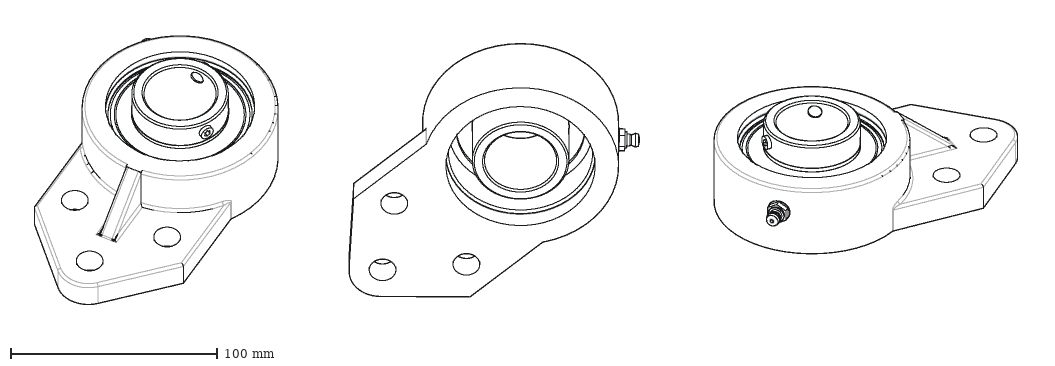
import cadquery as cq
import math


overall_length = 156.0
barrel_radius = 47.5
barrel_height = 36.5
edge_round = 1.4
seat_bore_diameter = 72.2
seat_sphere_diameter = 76.1

inner_overlap_radius = 42.1

tolerance = 0.02

flange_thickness = 13.4
flange_half_width = 41.0
flange_corner_y = -72.4
flange_tip_radius = 15.3
flange_tip_y = barrel_radius - overall_length
bolt_hole_diameter = 13.0
bolt_hole_points = [(-25.5, -60.0), (25.5, -60.0), (0, -91.9)]

rib_width = 8.3
rib_toe_y = -74.5
rib_edge_round = 1.4
root_fillet = 1.4

nipple_angle = 135.0
nipple_height = 23.0
boss_diameter = 11.2
boss_face_radius = 47.7
nipple_hex_width = 9.4
nipple_hex_end = 50.5
nipple_shoulder_diameter = 8.0
nipple_shoulder_end = 51.5
nipple_collar_diameter = 6.0
nipple_collar_end = 53.0
nipple_neck_diameter = 5.1
nipple_head_diameter = 6.7
nipple_head_start = 53.7
nipple_head_widest = 55.7
nipple_head_end = 57.1
nipple_tip_diameter = 2.3
nipple_tip_end = 57.5
nipple_hole_diameter = 1.5
nipple_hole_depth = 1.5

bore_diameter = 35.0
inner_ring_diameter = 46.8
inner_ring_length = 42.9
inner_ring_top = 46.3
inner_ring_bottom = inner_ring_top - inner_ring_length
ring_chamfer = 1.0

bearing_center_z = 20.9
outer_ring_half_width = 11.2
outer_ring_bore_diameter = 69.9
outer_ring_chamfer = 1.2

seal_top = 30.5
seal_thickness = 1.9
seal_bore_diameter = 62.2
seal_top_diameter = 67.7
seal_edge_depth = 0.5
flinger_diameter = 63.8
flinger_collar_diameter = 47.3
flinger_thickness = 0.23
flinger_rise = 1.1
flinger_collar_top = 33.9

screw_angles = [90.0, -30.0]
screw_diameter = 6.7
screw_z = 40.4
screw_outer_end = 25.3
screw_recess = 0.8
screw_inner_end = bore_diameter / 2 + screw_recess
socket_width = 3.0
socket_depth = 3.1


def radial_plane(angle, distance, z):
    """Plane at a distance from the bearing axis, with its normal pointing outward and local Y up."""
    direction = (math.cos(math.radians(angle)), math.sin(math.radians(angle)), 0)
    tangent = (-direction[1], direction[0], 0)
    origin = (distance * direction[0], distance * direction[1], z)
    return cq.Plane(origin=origin, xDir=tangent, normal=direction)


def revolve_profile(points):
    """Turn a closed (radius, z) outline about the bearing axis."""
    return cq.Workplane("XZ").polyline(points).close().revolve(360, (0, 0, 0), (0, 1, 0))


def make_flange():
    """Plate whose slanted sides run tangentially into the rounded tip."""
    tip_center_y = flange_tip_y + flange_tip_radius
    to_center_x = -flange_half_width
    to_center_y = tip_center_y - flange_corner_y
    center_distance = math.hypot(to_center_x, to_center_y)
    tangent_angle = math.atan2(-to_center_y, -to_center_x) - math.acos(flange_tip_radius / center_distance)
    tangent_x = flange_tip_radius * math.cos(tangent_angle)
    tangent_y = tip_center_y + flange_tip_radius * math.sin(tangent_angle)
    return (
        cq.Workplane("XY")
        .moveTo(flange_half_width, 0)
        .lineTo(flange_half_width, flange_corner_y)
        .lineTo(tangent_x, tangent_y)
        .threePointArc((0, flange_tip_y), (-tangent_x, tangent_y))
        .lineTo(-flange_half_width, flange_corner_y)
        .lineTo(-flange_half_width, 0)
        .close()
        .extrude(flange_thickness)
        .faces(">Z")
        .edges("not >Y")
        .fillet(edge_round)
    )


def make_rib():
    """Sharp-edged rib sloping from the top of the barrel down to the flange."""
    return (
        cq.Workplane("YZ")
        .polyline([
            (-inner_overlap_radius, 0),
            (-inner_overlap_radius, barrel_height),
            (-barrel_radius, barrel_height),
            (rib_toe_y, flange_thickness),
            (rib_toe_y, 0),
        ])
        .close()
        .extrude(rib_width / 2, both=True)
    )


def make_rib_edge_waste():
    """Slivers to remove along the rib so that its two sloping edges become round."""
    slope = cq.Vector(0, rib_toe_y + barrel_radius, flange_thickness - barrel_height)
    sloping_edges = cq.selectors.ParallelDirSelector(slope)
    sharp_rib = make_rib()
    rounded_rib = sharp_rib.edges(sloping_edges).fillet(rib_edge_round)
    barrel = cq.Workplane("XY").circle(barrel_radius).extrude(barrel_height)
    return sharp_rib.cut(rounded_rib).cut(barrel)


def is_root_edge(edge):
    """True for the inner corners where the barrel and the rib rise from the flange top."""
    box = edge.BoundingBox()
    lies_on_flange_top = max(abs(box.zmin - flange_thickness), abs(box.zmax - flange_thickness)) < tolerance
    if not lies_on_flange_top:
        return False
    if edge.geomType() == "CIRCLE":
        return abs(edge.radius() - barrel_radius) < tolerance
    return max(abs(box.xmin), abs(box.xmax)) < rib_width / 2 + tolerance


def make_housing():
    """Barrel, flange, rib and nipple boss in one casting, bored for the bearing and the bolts."""
    barrel = cq.Workplane("XY").circle(barrel_radius).extrude(barrel_height)
    barrel = barrel.faces(">Z").edges().fillet(edge_round)
    body = barrel.union(make_flange()).union(make_rib())
    root_edges = [edge for edge in body.edges().vals() if is_root_edge(edge)]
    body = body.newObject(root_edges).fillet(root_fillet)
    body = body.cut(make_rib_edge_waste())
    boss = (
        cq.Workplane(radial_plane(nipple_angle, inner_overlap_radius, nipple_height))
        .circle(boss_diameter / 2)
        .extrude(boss_face_radius - inner_overlap_radius)
    )
    bore = cq.Workplane("XY").circle(seat_bore_diameter / 2).extrude(barrel_height)
    seat = cq.Workplane("XY", origin=(0, 0, bearing_center_z)).sphere(seat_sphere_diameter / 2)
    bolt_holes = (
        cq.Workplane("XY")
        .pushPoints(bolt_hole_points)
        .circle(bolt_hole_diameter / 2)
        .extrude(flange_thickness)
    )
    return body.union(boss).cut(bore).cut(seat).cut(bolt_holes)


def make_outer_ring():
    """Ring with a spherical outside and flat ends, chamfered at both mouths of its bore."""
    ball = cq.Workplane("XY", origin=(0, 0, bearing_center_z)).sphere(seat_sphere_diameter / 2)
    slab = (
        cq.Workplane("XY", origin=(0, 0, bearing_center_z - outer_ring_half_width))
        .circle(seat_sphere_diameter / 2)
        .circle(outer_ring_bore_diameter / 2)
        .extrude(2 * outer_ring_half_width)
    )
    bore_edges = cq.selectors.RadiusNthSelector(0)
    return ball.intersect(slab).edges(bore_edges).chamfer(outer_ring_chamfer)


def make_screw(angle):
    """Headless set screw with a hexagon socket in its outer end."""
    length = screw_outer_end - screw_inner_end
    screw = (
        cq.Workplane(radial_plane(angle, screw_inner_end, screw_z))
        .circle(screw_diameter / 2)
        .extrude(length)
    )
    socket = (
        cq.Workplane(radial_plane(angle, screw_outer_end, screw_z))
        .polygon(6, socket_width, circumscribed=True)
        .extrude(-socket_depth)
    )
    return screw.cut(socket)


def make_inner_ring():
    """Long sleeve around the shaft with a radial hole for each set screw."""
    ring = (
        cq.Workplane("XY", origin=(0, 0, inner_ring_bottom))
        .circle(inner_ring_diameter / 2)
        .circle(bore_diameter / 2)
        .extrude(inner_ring_length)
        .faces("<Z or >Z")
        .edges()
        .chamfer(ring_chamfer)
    )
    for angle in screw_angles:
        ring = ring.cut(
            cq.Workplane(radial_plane(angle, 0, screw_z))
            .circle(screw_diameter / 2)
            .extrude(inner_ring_diameter / 2)
        )
    return ring


def make_seal():
    """Flat annulus filling the outer ring's bore, its outer edge sloping down into a groove."""
    inner = seal_bore_diameter / 2
    outer = outer_ring_bore_diameter / 2
    bottom = seal_top - seal_thickness
    return revolve_profile([
        (inner, bottom),
        (outer, bottom),
        (outer, seal_top - seal_edge_depth),
        (seal_top_diameter / 2, seal_top),
        (inner, seal_top),
    ])


def make_flinger():
    """Thin conical disc lying on the seal, with a collar that grips the inner ring."""
    rim = flinger_diameter / 2
    collar = flinger_collar_diameter / 2
    bore = inner_ring_diameter / 2
    return revolve_profile([
        (rim, seal_top),
        (rim, seal_top + flinger_thickness),
        (collar, seal_top + flinger_thickness + flinger_rise),
        (collar, flinger_collar_top),
        (bore, flinger_collar_top),
        (bore, seal_top + flinger_rise),
    ])


def make_nipple():
    """Hexagon seated on the boss, followed by a turned head with a grease hole in its tip."""
    seat = radial_plane(nipple_angle, boss_face_radius, nipple_height)
    hexagon = (
        cq.Workplane(seat)
        .polygon(6, nipple_hex_width, circumscribed=True)
        .extrude(nipple_hex_end - boss_face_radius)
    )
    stations = [
        (0, nipple_hex_end),
        (nipple_shoulder_diameter, nipple_hex_end),
        (nipple_shoulder_diameter, nipple_shoulder_end),
        (nipple_collar_diameter, nipple_shoulder_end),
        (nipple_collar_diameter, nipple_collar_end),
        (nipple_neck_diameter, nipple_collar_end),
        (nipple_neck_diameter, nipple_head_start),
        (nipple_head_diameter, nipple_head_widest),
        (nipple_collar_diameter, nipple_head_end),
        (nipple_tip_diameter, nipple_tip_end),
        (0, nipple_tip_end),
    ]
    outline = [(diameter / 2, distance - boss_face_radius) for diameter, distance in stations]
    axial_plane = cq.Plane(origin=seat.origin, xDir=seat.xDir, normal=-seat.yDir)
    head = cq.Workplane(axial_plane).polyline(outline).close().revolve(360, (0, 0, 0), (0, 1, 0))
    grease_hole = (
        cq.Workplane(radial_plane(nipple_angle, nipple_tip_end, nipple_height))
        .circle(nipple_hole_diameter / 2)
        .extrude(-nipple_hole_depth)
    )
    return hexagon.union(head).cut(grease_hole)


housing = make_housing()
outer_ring = make_outer_ring()
inner_ring = make_inner_ring()
seal = make_seal()
flinger = make_flinger()
nipple = make_nipple()
screws = [make_screw(angle) for angle in screw_angles]

result = cq.Compound.makeCompound([
    housing.val(),
    outer_ring.val(),
    inner_ring.val(),
    seal.val(),
    flinger.val(),
    nipple.val(),
    *[screw.val() for screw in screws],
])